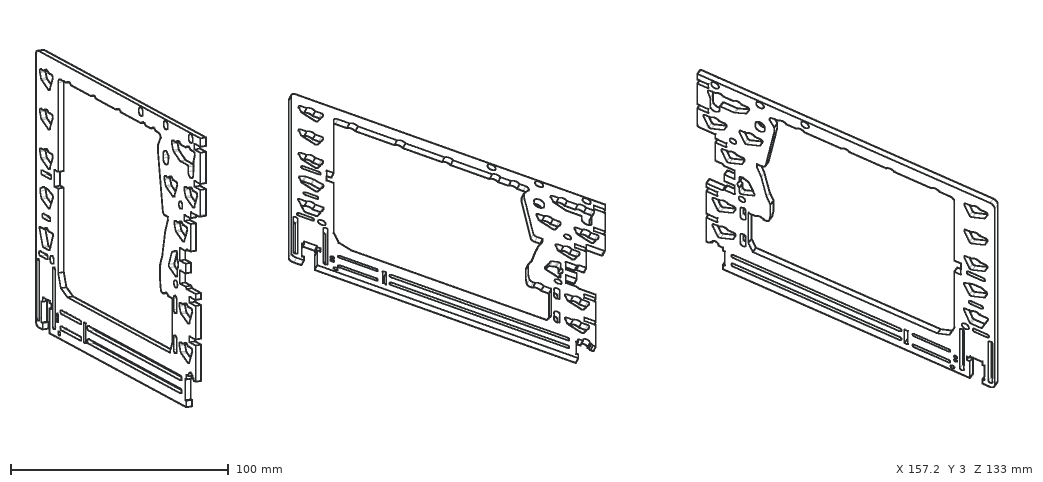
import cadquery as cq

length = 157.2
height = 133.0
thickness = 3.0
left_corner_radius = 2.5

pitch = 19.0
half_pitch = pitch / 2
quarter_pitch = pitch / 4
left_column_x = 9.9
top_row_z = 124.9

dome_radius = 2.7
dome_rise = 1.04

key_left = -6.1
key_right = 6.8
key_left_drop = 1.5
key_heel = (-4.7, -4.9)
key_toe = (3.0, -8.3)
key_corner_radius = 1.1

edge_step_1 = length - quarter_pitch
edge_step_2 = length - half_pitch
edge_step_3 = length - 3 * quarter_pitch
recess_x = 137.5
recess_z = (57.9, 75.0)
recess_lip = 1.0
tab_z = (64.2, 68.9)
upper_step_z = 95.0
lower_edge_z = 14.6
lower_edge_left = (150.2, 151.0)
edge_corner_radius = 1.3
notch_depth = 5.8
notch_height = 2.8

foot_top_z = 15.5
foot_undercut_z = (3.1, 13.4)
foot_undercut = 1.02
right_foot_x = 143.7
left_foot_x = (6.5, 13.0)
side_pocket_x = 14.8
side_pocket_z = (12.1, 14.6)
foot_relief_z = 16.0
foot_relief_radius = 1.7

window_left = 21.4
window_bottom = 22.0
window_right = 130.2
window_corner_radius = 1.9
window_notch_depth = 3.6
window_notch_z = (71.9, 79.9)


def column_x(column):
    return left_column_x + column * pitch


def row_z(row):
    return top_row_z - row * pitch


def prism(points):
    """Solid through the plate thickness with the given X-Z outline."""
    outline = cq.Workplane("XZ").polyline(points).close()
    return outline.extrude(-thickness)


def block(x_range, z_range):
    (x0, x1), (z0, z1) = x_range, z_range
    return prism([(x0, z0), (x1, z0), (x1, z1), (x0, z1)])


def disc(x, z, radius):
    return cq.Workplane("XZ").center(x, z).circle(radius).extrude(-thickness)


def slot(x_range, z_range):
    """Round-ended slot filling the given X-Z box."""
    (x0, x1), (z0, z1) = x_range, z_range
    width = x1 - x0
    depth = z1 - z0
    angle = 0 if width > depth else 90
    sketch = cq.Workplane("XZ").center((x0 + x1) / 2, (z0 + z1) / 2)
    return sketch.slot2D(max(width, depth), min(width, depth), angle).extrude(-thickness)


def round_corner(body, x, z, radius):
    """Round the through-thickness corner at the given X and Z."""
    corner = cq.NearestToPointSelector((x, thickness / 2, z))
    return body.edges("|Y").edges(corner).fillet(radius)


def dome(x, edge_z):
    return disc(x, edge_z + dome_rise - dome_radius, dome_radius)


def key_opening(x, edge_z):
    """Five-sided opening with a dome on its upper edge."""
    corners = [
        (key_left, 0),
        (key_left, -key_left_drop),
        key_heel,
        key_toe,
        (key_right, 0),
    ]
    body = prism([(x + dx, edge_z + dz) for dx, dz in corners])
    return body.edges("|Y").fillet(key_corner_radius).union(dome(x, edge_z))


def domeless_opening(x, edge_z):
    """Key opening whose upper edge is a low roof as tall as the dome."""
    shoulder_drop = 0.8
    roof_left = -3.0
    roof_right = 1.3
    corners = [
        (roof_left, dome_rise),
        (key_left, -shoulder_drop),
        key_heel,
        key_toe,
        (key_right, -shoulder_drop),
        (roof_right, dome_rise),
    ]
    body = prism([(x + dx, edge_z + dz) for dx, dz in corners])
    return body.edges("|Y").fillet(key_corner_radius)


def symmetric_opening(x, edge_z):
    half_top = 6.8
    half_bottom = 3.1
    depth = 9.0
    corner_radius = 0.6
    corners = [
        (-half_top, 0),
        (-half_bottom, -depth),
        (half_bottom, -depth),
        (half_top, 0),
    ]
    body = prism([(x + dx, edge_z + dz) for dx, dz in corners])
    return body.edges("|Y").fillet(corner_radius).union(dome(x, edge_z))


def sideways_opening(x, z):
    """Key opening turned a quarter clockwise, its dome pointing right."""
    return key_opening(0, 0).rotate((0, 0, 0), (0, 1, 0), 90).translate((x, 0, z))


def wide_opening():
    """Upper right opening: two domes, and a round-bottomed leg on its right."""
    columns = (6.625, 7.125)
    left_dome_x, right_dome_x = [column_x(column) for column in columns]
    left = left_dome_x + key_left
    leg_left = 145.5
    leg_right = 150.5
    leg_bottom = 111.5
    floor_z = 116.8
    floor_left = 137.6
    shoulder_z = 120.1
    leg_corner_radius = 0.6
    body = prism([
        (left, top_row_z),
        (left, top_row_z - key_left_drop),
        (left_dome_x + key_heel[0], top_row_z + key_heel[1]),
        (floor_left, floor_z),
        (leg_right, floor_z),
        (leg_right, shoulder_z),
        (right_dome_x + key_right, top_row_z),
    ])
    body = body.edges("|Y").fillet(key_corner_radius)
    body = body.union(slot((leg_left, leg_right), (leg_bottom, shoulder_z)))
    body = round_corner(body, leg_left, floor_z, leg_corner_radius)
    for dome_x in (left_dome_x, right_dome_x):
        body = body.union(dome(dome_x, top_row_z))
    return body


def outer_plate():
    recess_bottom, recess_top = recess_z
    undercut_bottom, undercut_top = foot_undercut_z
    lip_x = edge_step_3 + recess_lip
    lower_edge_top_x, lower_edge_bottom_x = lower_edge_left
    plate = prism([
        (0, 0),
        (0, height),
        (length, height),
        (length, upper_step_z),
        (edge_step_2, upper_step_z),
        (edge_step_2, recess_top + recess_lip),
        (lip_x, recess_top + recess_lip),
        (edge_step_3, recess_top),
        (recess_x, recess_top),
        (recess_x, recess_bottom),
        (edge_step_3, recess_bottom),
        (lip_x, recess_bottom - recess_lip),
        (edge_step_1, recess_bottom - recess_lip),
        (edge_step_1, lower_edge_z),
        (lower_edge_bottom_x, lower_edge_z),
        (lower_edge_top_x, foot_top_z),
        (right_foot_x, foot_top_z),
        (right_foot_x, undercut_top),
        (right_foot_x - foot_undercut, undercut_top),
        (right_foot_x - foot_undercut, undercut_bottom),
        (right_foot_x, undercut_bottom),
        (right_foot_x, 0),
    ])
    plate = plate.edges("|Y").edges("<X").fillet(left_corner_radius)
    plate = plate.union(block((recess_x, edge_step_3), tab_z))
    plate = round_corner(plate, length, upper_step_z, edge_corner_radius)
    return plate.cut(disc(edge_step_2, foot_relief_z, foot_relief_radius))


def edge_notches():
    """Connector notches in the right edge: edge position and height of each centre."""
    notches = [
        (length, 127.5),
        (length, row_z(0.8)),
        (edge_step_2, row_z(1.8)),
        (edge_step_1, row_z(3.8)),
        (edge_step_1, row_z(4.8)),
    ]
    half = notch_height / 2
    return [block((x - notch_depth, x), (z - half, z + half)) for x, z in notches]


def left_foot_gap():
    """Opening between the left foot and the lower bar."""
    left, right = left_foot_x
    undercut_bottom, undercut_top = foot_undercut_z
    gap = block((left, right), (0, foot_top_z))
    gap = gap.union(block((left - foot_undercut, right), (undercut_bottom, undercut_top)))
    return gap.union(block((left, side_pocket_x), side_pocket_z))


def window():
    lower_shelf_z = row_z(4)
    upper_shelf_z = row_z(2)
    peninsula_top_x = 118.9
    upper_shelf_left = 121.4
    lower_shelf_left = 119.4
    body = prism([
        (window_left, top_row_z),
        (peninsula_top_x, top_row_z),
        (119.0, 123.0),
        (116.5, 118.7),
        (116.5, 115.6),
        (upper_shelf_left, upper_shelf_z),
        (125.8, upper_shelf_z),
        (125.8, 84.9),
        (123.5, 79.1),
        (120.6, 66.5),
        (118.5, 61.8),
        (118.5, 54.3),
        (lower_shelf_left, lower_shelf_z),
        (window_right, lower_shelf_z),
        (window_right, 27.2),
        (127.8, window_bottom),
        (30.2, window_bottom),
        (23.9, 24.7),
        (window_left, 31.3),
    ])
    rounded_corners = [
        (window_left, top_row_z),
        (peninsula_top_x, top_row_z),
        (upper_shelf_left, upper_shelf_z),
        (lower_shelf_left, lower_shelf_z),
    ]
    for x, z in rounded_corners:
        body = round_corner(body, x, z, window_corner_radius)
    body = body.union(block((window_left - window_notch_depth, window_left), window_notch_z))
    for column in (1.125, 2.375, 3.625, 4.875, 5.375):
        body = body.union(dome(column_x(column), top_row_z))
    return body.union(dome(124.2, lower_shelf_z))


def key_openings():
    regular = [
        (0, 0), (0, 1), (0, 2),
        (6.25, 1), (7.25, 1),
        (6.75, 2),
        (7, 4), (7, 5),
    ]
    openings = [key_opening(column_x(column), row_z(row)) for column, row in regular]
    openings.append(domeless_opening(column_x(0), row_z(3)))
    openings.append(symmetric_opening(column_x(0), row_z(4)))
    openings.append(sideways_opening(134.9, 66.4))
    openings.append(wide_opening())
    return openings


def round_holes():
    top_hole_z = 130.4
    top_hole_radius = 2.0
    holes = [disc(column_x(column), top_hole_z, top_hole_radius) for column in (4.75, 6, 7.25)]
    singles = [
        (column_x(6.75), 95.8, 1.7),
        (column_x(6.5), 56.6, 1.7),
        (15.4, 36.0, 1.9),
        (20.6, 10.7, 0.86),
        (20.6, 8.2, 0.86),
        (22.3, 2.5, 1.02),
    ]
    return holes + [disc(x, z, radius) for x, z, radius in singles]


def slots():
    ranges = [
        ((121.5, 126.6), (111.5, 118.0)),
        ((5.0, 14.8), (74.4, 76.6)),
        ((6.1, 13.7), (53.8, 56.0)),
        ((3.0, 11.5), (34.9, 37.1)),
        ((1.1, 3.3), (3.1, 32.9)),
        ((16.2, 18.4), (3.1, 32.9)),
        ((23.5, 43.4), (12.5, 14.2)),
        ((23.5, 43.4), (4.5, 6.5)),
        ((49.2, 139.2), (11.5, 13.7)),
        ((49.2, 139.2), (5.2, 7.4)),
        ((131.6, 134.5), (42.3, 50.8)),
        ((131.6, 134.5), (23.1, 31.8)),
    ]
    cutters = [slot(x_range, z_range) for x_range, z_range in ranges]
    square_slot = block((45.9, 47.6), (4.5, 14.2))
    return cutters + [square_slot]


result = outer_plate().cut(window()).cut(left_foot_gap())
for cutter in edge_notches() + key_openings() + round_holes() + slots():
    result = result.cut(cutter)